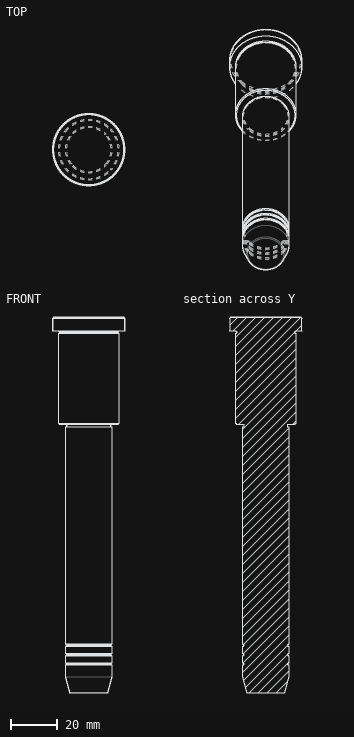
import cadquery as cq
import math

total_length = 161.0
head_radius = 31.0 / 2
head_height = 6.0
shank_radius = 26.0 / 2
shank_length = 40.0
pin_radius = 20.0 / 2

head_chamfer = 0.5
shank_chamfer = 0.5
tip_fillet = 0.5

groove_width = 1.0
groove_floor_width = 0.32
groove_depth = 0.5
pin_groove_count = 3
pin_groove_pitch = 4.0
lowest_pin_groove_z = 12.5

pin_relief_width = 1.0
pin_relief_depth = 0.5

taper_length = 7.0
taper_angle = 15.0

head_bottom_z = total_length - head_height
shank_bottom_z = head_bottom_z - shank_length
pin_top_z = shank_bottom_z - pin_relief_width
tip_radius = pin_radius - taper_length * math.tan(math.radians(taper_angle))


def revolve_profile(points):
    """Revolve a closed outline of (radius, z) points around the Z axis."""
    return cq.Workplane("XZ").polyline(points).close().revolve(360, (0, 0, 0), (0, 1, 0))


def cylinder(radius, bottom_z, top_z):
    return cq.Workplane("XY").workplane(offset=bottom_z).circle(radius).extrude(top_z - bottom_z)


def make_head():
    head = cylinder(head_radius, head_bottom_z, total_length)
    return head.faces(">Z").edges().chamfer(head_chamfer)


def make_shank():
    shank = cylinder(shank_radius, shank_bottom_z, head_bottom_z)
    return shank.faces("<Z").edges().chamfer(shank_chamfer)


def make_pin():
    """Pin with a tapered, rounded tip and a narrower neck joining it to the shank."""
    neck_radius = pin_radius - pin_relief_depth
    pin = revolve_profile([
        (0, 0),
        (tip_radius, 0),
        (pin_radius, taper_length),
        (pin_radius, pin_top_z),
        (neck_radius, pin_top_z),
        (neck_radius, shank_bottom_z),
        (0, shank_bottom_z),
    ])
    return pin.faces("<Z").edges().fillet(tip_fillet)


def groove_cutter(surface_radius, center_z):
    """Ring that cuts a trapezoidal groove into a cylinder of the given radius."""
    half_width = groove_width / 2
    half_floor = groove_floor_width / 2
    floor_radius = surface_radius - groove_depth
    return revolve_profile([
        (surface_radius, center_z - half_width),
        (surface_radius, center_z + half_width),
        (floor_radius, center_z + half_floor),
        (floor_radius, center_z - half_floor),
    ])


result = make_head().union(make_shank()).union(make_pin())

result = result.cut(groove_cutter(shank_radius, head_bottom_z - groove_width / 2))

for index in range(pin_groove_count):
    result = result.cut(groove_cutter(pin_radius, lowest_pin_groove_z + index * pin_groove_pitch))